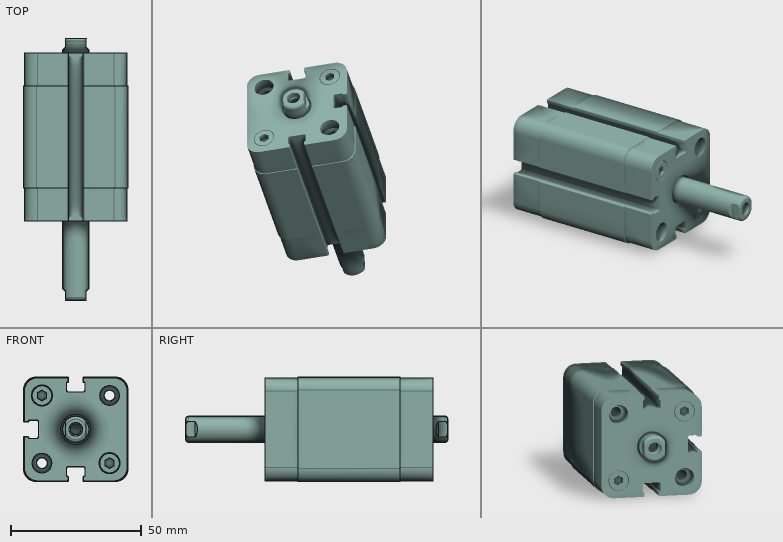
import cadquery as cq
import math

total_length = 100.5
tube_length = 39.2
cap_length = 12.7
front_rod_length = 30.4

tube_side = 40.1
cap_side = 39.5
corner_radius = 5.0

slot_angles = (0, 180, -90)
slot_mouth_width = 5.6
slot_width = 6.9
slot_lip_position = 18.0
slot_floor_position = 14.4
slot_floor_radius = 0.6
slot_lip_radius = 0.4

rod_diameter = 10.0
rod_edge_radius = 1.1
rod_bore_diameter = 11.6
rod_bore_depth = 1.5
flat_spacing = 8.0
flat_length = 3.5
thread_diameter = 4.1
thread_entry_diameter = 5.2
thread_entry_depth = 2.2
thread_depth = 10.0
drill_point_angle = 118.0

bolt_offset = 13.0
through_diameter = 4.1
counterbore_diameter = 7.5
counterbore_depth = 4.6
screw_seat_diameter = 8.0
screw_head_diameter = 7.5
screw_gap_depth = 1.0
hex_across_flats = 3.5
hex_depth = 2.4
hex_turn = 30.0

rod_front = -total_length / 2
body_front = rod_front + front_rod_length
tube_front = body_front + cap_length
tube_back = tube_front + tube_length
body_back = tube_back + cap_length
body_length = body_back - body_front


def plane_at(y):
    """Sketch plane across the cylinder axis: normal +Y, sketch X along -X, sketch Y along +Z."""
    return cq.Workplane(cq.Plane(origin=(0, y, 0), xDir=(-1, 0, 0), normal=(0, 1, 0)))


def rounded_block(side, y, length):
    block = plane_at(y).rect(side, side).extrude(length)
    return block.edges("|Y").fillet(corner_radius)


def cylinder(diameter, y, length):
    return plane_at(y).circle(diameter / 2).extrude(length)


def slot_channel():
    """Cutter for the wide part of a slot below its lips, opening towards +Z."""
    height = slot_lip_position - slot_floor_position
    channel = plane_at(body_front).center(0, slot_floor_position + height / 2)
    channel = channel.rect(slot_width, height).extrude(body_length)
    return channel.edges("|Y and <Z").fillet(slot_floor_radius)


def slot_mouth(side, y, length):
    """Cutter for the narrow mouth of a slot, flared at both ends by the rounded lip edges."""
    half_width = slot_mouth_width / 2
    top = side / 2
    flare = half_width + slot_lip_radius
    return (
        plane_at(y)
        .moveTo(-flare, slot_lip_position)
        .lineTo(flare, slot_lip_position)
        .radiusArc((half_width, slot_lip_position + slot_lip_radius), slot_lip_radius)
        .lineTo(half_width, top - slot_lip_radius)
        .radiusArc((flare, top), slot_lip_radius)
        .lineTo(-flare, top)
        .radiusArc((-half_width, top - slot_lip_radius), slot_lip_radius)
        .lineTo(-half_width, slot_lip_position + slot_lip_radius)
        .radiusArc((-flare, slot_lip_position), slot_lip_radius)
        .close()
        .extrude(length)
    )


def slotted_block(side, y, length):
    """Rounded block with slots in its top, bottom and -X sides."""
    block = rounded_block(side, y, length)
    slot = slot_channel().union(slot_mouth(side, y, length))
    for angle in slot_angles:
        block = block.cut(slot.rotate((0, 0, 0), (0, 1, 0), angle))
    return block


def make_body():
    body = slotted_block(tube_side, tube_front, tube_length)
    body = body.union(slotted_block(cap_side, body_front, cap_length))
    return body.union(slotted_block(cap_side, tube_back, cap_length))


def mirror_to_back(front_cutter):
    """Copy of a cutter mirrored about the middle of the body."""
    return front_cutter.mirror("XZ", (0, (body_front + body_back) / 2, 0))


def cap_face_cutter():
    """Everything recessed into the front cap face."""
    cutter = cylinder(rod_bore_diameter, body_front, rod_bore_depth)
    for side in (1, -1):
        counterbore = cylinder(counterbore_diameter, body_front, counterbore_depth)
        cutter = cutter.union(counterbore.translate((side * bolt_offset, 0, side * bolt_offset)))

        gap = cylinder(screw_seat_diameter, body_front, screw_gap_depth)
        gap = gap.cut(cylinder(screw_head_diameter, body_front, screw_gap_depth))
        hex_diameter = hex_across_flats / math.cos(math.radians(hex_turn))
        socket = plane_at(body_front).polygon(6, hex_diameter).extrude(hex_depth)
        socket = socket.rotate((0, 0, 0), (0, 1, 0), hex_turn)
        screw = gap.union(socket)
        cutter = cutter.union(screw.translate((side * bolt_offset, 0, -side * bolt_offset)))
    return cutter


def make_rod():
    rod = cylinder(rod_diameter, rod_front, total_length)
    return rod.faces("<Y or >Y").edges().fillet(rod_edge_radius)


def rod_tip_cutter():
    """Two wrench flats with 45 degree run-outs and the threaded hole at the front tip."""
    flat_x = flat_spacing / 2
    outer_x = rod_diameter / 2
    flat_end = rod_front + flat_length
    flat = (
        cq.Workplane("XY", origin=(0, 0, -outer_x))
        .moveTo(flat_x, rod_front)
        .lineTo(flat_x, flat_end)
        .lineTo(outer_x, flat_end + outer_x - flat_x)
        .lineTo(outer_x, rod_front)
        .close()
        .extrude(rod_diameter)
    )
    hole_radius = thread_diameter / 2
    entry_radius = thread_entry_diameter / 2
    hole_end = rod_front + thread_depth
    point_length = hole_radius / math.tan(math.radians(drill_point_angle / 2))
    hole = (
        cq.Workplane("XY")
        .moveTo(0, rod_front)
        .lineTo(entry_radius, rod_front)
        .lineTo(entry_radius, rod_front + thread_entry_depth)
        .lineTo(hole_radius, rod_front + thread_entry_depth + entry_radius - hole_radius)
        .lineTo(hole_radius, hole_end)
        .lineTo(0, hole_end + point_length)
        .close()
        .revolve(360, (0, 0, 0), (0, 1, 0))
    )
    return flat.union(flat.mirror("YZ")).union(hole)


body = make_body()
body = body.cut(cap_face_cutter()).cut(mirror_to_back(cap_face_cutter()))
for side in (1, -1):
    through_hole = cylinder(through_diameter, body_front, body_length)
    body = body.cut(through_hole.translate((side * bolt_offset, 0, side * bolt_offset)))

rod = make_rod()
rod = rod.cut(rod_tip_cutter()).cut(rod_tip_cutter().mirror("XZ"))

result = body.union(rod)